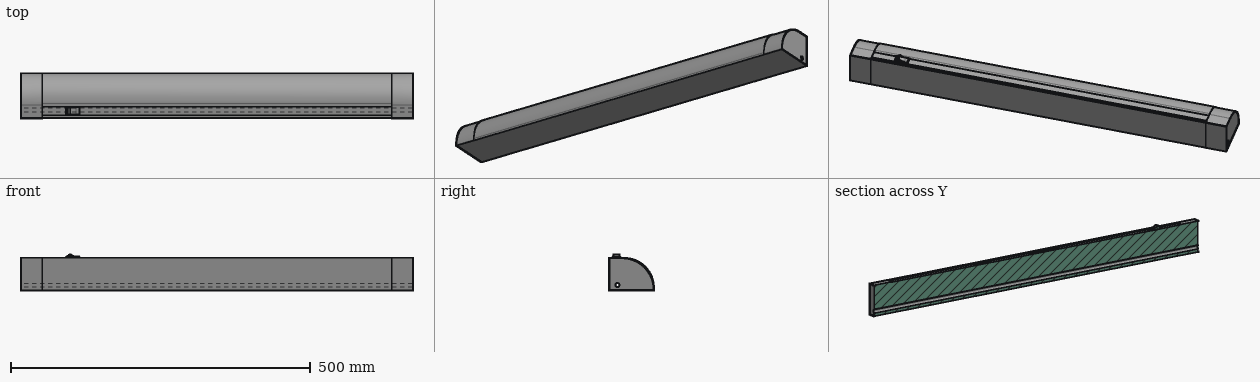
import cadquery as cq

LENGTH = 654.0
DEPTH = 76.0
HEIGHT = 55.0
CAP_LENGTH = 36.0
CAP_RADIUS = 53.0

COVER_RADIUS = 50.5
COVER_INSET = 0.2
COVER_LENGTH = LENGTH - 2 * CAP_LENGTH

RIM_WIDTH = 1.0
END_RECESS = 0.5

LEDGE_WIDTH = 1.0
LEDGE_DROP = 0.5
LEDGE_FLOOR = HEIGHT - LEDGE_DROP

CHANNEL_START = 6.0
CHANNEL_WIDTH = 14.0
CHANNEL_DEPTH = 0.5
CHANNEL_FLOOR = HEIGHT - CHANNEL_DEPTH

CABLE_DIAMETER = 6.5
CABLE_Y = 14.5
CABLE_Z = 9.0

SWITCH_START = 75.0
SWITCH_LENGTH = 23.0
SWITCH_PLATE_TOP = 57.0
SWITCH_CHAMFER = 1.0

NUB_START = 78.0
NUB_TIP = 82.5
NUB_END = 91.5
NUB_FLANK_RADIUS = 8.0
NUB_WIDTH = 10.5
NUB_TOP = 61.0
NUB_HOLLOW_DIAMETER = 26.0


def quarter_round_bar(x_start, length, front, back, bottom, top, radius):
    """Bar along X: square at the front, one large round from the flat top to the back."""
    bar = cq.Workplane("XY").box(length, back - front, top - bottom, centered=False)
    return bar.edges(">Y and >Z").fillet(radius).translate((x_start, front, bottom))


def make_end_recess(x_start):
    """Pocket in an end face that leaves a rim of constant width."""
    return quarter_round_bar(
        x_start,
        END_RECESS,
        RIM_WIDTH,
        DEPTH - RIM_WIDTH,
        RIM_WIDTH,
        HEIGHT - RIM_WIDTH,
        CAP_RADIUS - RIM_WIDTH,
    )


def make_cover():
    """Middle section with the channel for the switch."""
    cover = quarter_round_bar(
        CAP_LENGTH, COVER_LENGTH, COVER_INSET, DEPTH - COVER_INSET, 0, HEIGHT - COVER_INSET, COVER_RADIUS
    )
    channel = cq.Workplane("XY").box(COVER_LENGTH, CHANNEL_WIDTH, HEIGHT, centered=False)
    return cover.cut(channel.translate((CAP_LENGTH, CHANNEL_START, CHANNEL_FLOOR)))


def make_housing():
    """Cover and both end caps in one piece."""
    body = make_cover()
    for x_start in (0, LENGTH - CAP_LENGTH):
        body = body.union(quarter_round_bar(x_start, CAP_LENGTH, 0, DEPTH, 0, HEIGHT, CAP_RADIUS))
    for x_start in (0, LENGTH - END_RECESS):
        body = body.cut(make_end_recess(x_start))
    ledge = cq.Workplane("XY").box(LENGTH, LEDGE_WIDTH, HEIGHT, centered=False)
    body = body.cut(ledge.translate((0, 0, LEDGE_FLOOR)))
    cable_hole = cq.Workplane("YZ").center(CABLE_Y, CABLE_Z).circle(CABLE_DIAMETER / 2).extrude(LENGTH)
    return body.cut(cable_hole)


def make_switch():
    """Chamfered plate that fills the channel width, with the finger nub on top."""
    plate_height = SWITCH_PLATE_TOP - CHANNEL_FLOOR
    plate = cq.Workplane("XY").box(SWITCH_LENGTH, CHANNEL_WIDTH, plate_height, centered=False)
    plate = plate.faces(">Z").chamfer(SWITCH_CHAMFER).translate((SWITCH_START, CHANNEL_START, CHANNEL_FLOOR))
    nub = (
        cq.Workplane("XZ")
        .moveTo(NUB_START, SWITCH_PLATE_TOP)
        .radiusArc((NUB_TIP, NUB_TOP), NUB_FLANK_RADIUS)
        .radiusArc((NUB_END, SWITCH_PLATE_TOP), -NUB_HOLLOW_DIAMETER / 2)
        .close()
        .extrude(-NUB_WIDTH)
    )
    nub_front = CHANNEL_START + (CHANNEL_WIDTH - NUB_WIDTH) / 2
    return plate.union(nub.translate((0, nub_front, 0)))


housing = make_housing()
switch = make_switch()
result = cq.Compound.makeCompound([housing.val(), switch.val()])